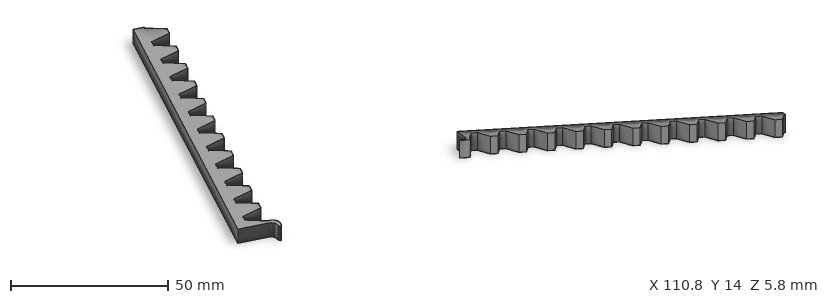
import cadquery as cq
import math

total_length = 110.8
total_height = 14.0
thickness = 5.8

tooth_count = 11
pitch = 9.4
first_tooth_x = 4.2
root_y = 3.7
tip_y = 10.4
tip_width = 2.4
pressure_angle = math.radians(20)
half_tip = tip_width / 2
half_root = half_tip + (tip_y - root_y) * math.tan(pressure_angle)

end_x = first_tooth_x + tooth_count * pitch

lip_inner_radius = 2.3
lip_inner_center_x = end_x + lip_inner_radius
lip_crown_x = 109.2
lip_end_y = 13.5


def add_tooth(outline, center_x):
    """Continue the outline along the root and over one full tooth."""
    return (
        outline.lineTo(center_x - half_root, root_y)
        .lineTo(center_x - half_tip, tip_y)
        .lineTo(center_x + half_tip, tip_y)
        .lineTo(center_x + half_root, root_y)
    )


def add_lip(outline):
    """Continue up the partial tooth, around the lip and back to the end face."""
    outline = outline.lineTo(end_x - half_root, root_y).lineTo(end_x - half_tip, tip_y)
    outline = outline.threePointArc((lip_crown_x, total_height), (total_length, lip_end_y))
    outline = outline.lineTo(lip_inner_center_x, tip_y + lip_inner_radius)
    inner_mid = lip_inner_radius * math.sqrt(0.5)
    return outline.threePointArc(
        (lip_inner_center_x - inner_mid, tip_y + inner_mid),
        (end_x, tip_y),
    )


profile = cq.Workplane("XY").moveTo(0, 0).lineTo(0, root_y)
for index in range(tooth_count):
    profile = add_tooth(profile, first_tooth_x + index * pitch)
profile = add_lip(profile).lineTo(end_x, 0).close()

result = profile.extrude(thickness)